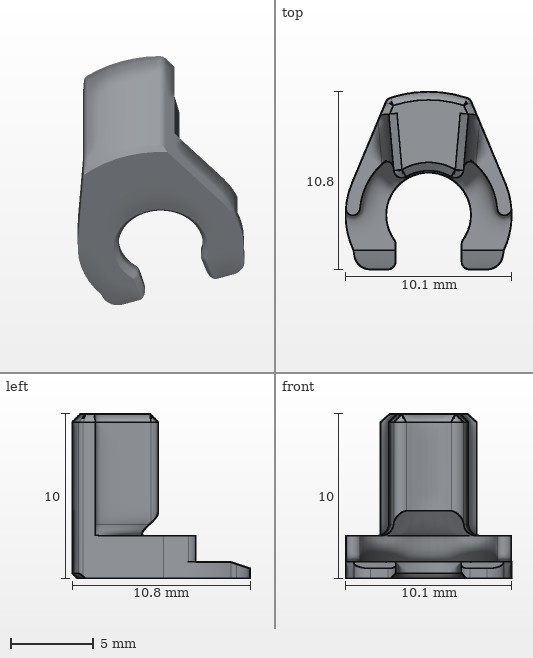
import cadquery as cq
import math

total_height = 10.0
base_thickness = 1.0
rim_height = 2.6

outer_radius = 5.055
back_radius = 7.5
taper_angle = math.radians(22.7)
back_corner_radius = 0.5
back_bottom_chamfer = 0.3

leg_front_y = -3.32
leg_start_y = -2.14
leg_corner_x = 4.39
leg_outer_radius = 1.0
leg_inner_radius = 0.5
leg_tip_thickness = 0.6

hole_radius = 2.57
mouth_half_width = 2.0
mouth_blend_radius = 0.5
mouth_chamfer = 0.3

rim_inner_radius = 4.2
rim_end_angle = math.radians(5)

tower_front_radius = 2.7
tower_corner_radius = 0.5
tower_side_angle = math.radians(5)
tower_side_x = 2.42
tower_step_y = 6.14
tower_foot_radius = 0.7
top_chamfer = 0.5

reach = 20.0


def prism(points, bottom, top):
    return cq.Workplane("XY").workplane(offset=bottom).polyline(points).close().extrude(top - bottom)


def cylinder(radius, bottom, top, center=(0, 0)):
    return cq.Workplane("XY").workplane(offset=bottom).center(*center).circle(radius).extrude(top - bottom)


def mirrored(shape):
    return shape.union(shape.mirror("YZ"))


def outline_prism(height):
    """Outer outline of the clip, with the opening between the legs still closed."""
    tangent_x = outer_radius * math.cos(taper_angle)
    tangent_y = outer_radius * math.sin(taper_angle)
    flank_length = math.sqrt(back_radius**2 - outer_radius**2)
    back_x = tangent_x - flank_length * math.sin(taper_angle)
    back_y = tangent_y + flank_length * math.cos(taper_angle)
    leg_start_x = math.sqrt(outer_radius**2 - leg_start_y**2)
    body = (
        cq.Workplane("XY")
        .moveTo(-leg_corner_x, leg_front_y)
        .lineTo(leg_corner_x, leg_front_y)
        .lineTo(leg_start_x, leg_start_y)
        .threePointArc((outer_radius, 0), (tangent_x, tangent_y))
        .lineTo(back_x, back_y)
        .threePointArc((0, back_radius), (-back_x, back_y))
        .lineTo(-tangent_x, tangent_y)
        .threePointArc((-outer_radius, 0), (-leg_start_x, leg_start_y))
        .close()
        .extrude(height)
    )
    body = body.edges("|Z").edges("<Y").fillet(leg_outer_radius)
    return body.edges("|Z").edges(">Y").fillet(back_corner_radius)


def mouth_profile():
    """Round seat and straight entry, joined by blends on the leg sides."""
    blend_x = mouth_half_width + mouth_blend_radius
    blend_reach = hole_radius + mouth_blend_radius
    blend_y = -math.sqrt(blend_reach**2 - blend_x**2)
    seat_x = blend_x * hole_radius / blend_reach
    seat_y = blend_y * hole_radius / blend_reach
    toward_seat = math.atan2(-blend_y, -blend_x)
    middle_angle = (toward_seat + math.pi) / 2
    middle_x = blend_x + mouth_blend_radius * math.cos(middle_angle)
    middle_y = blend_y + mouth_blend_radius * math.sin(middle_angle)
    front_y = 2 * leg_front_y
    return (
        cq.Workplane("XY")
        .moveTo(-mouth_half_width, front_y)
        .lineTo(mouth_half_width, front_y)
        .lineTo(mouth_half_width, blend_y)
        .threePointArc((middle_x, middle_y), (seat_x, seat_y))
        .threePointArc((0, hole_radius), (-seat_x, seat_y))
        .threePointArc((-middle_x, middle_y), (-mouth_half_width, blend_y))
        .close()
    )


def base_plate():
    plate = outline_prism(base_thickness).cut(mouth_profile().extrude(base_thickness))
    inner_corners = cq.selectors.BoxSelector(
        (-mouth_half_width - leg_inner_radius, leg_front_y - leg_inner_radius, 0),
        (mouth_half_width + leg_inner_radius, leg_front_y + leg_inner_radius, base_thickness),
    )
    plate = plate.edges("|Z").edges(inner_corners).fillet(leg_inner_radius)
    flare = mouth_profile().offset2D(mouth_chamfer).extrude(mouth_chamfer, taper=45)
    ramp = (
        cq.Workplane("YZ")
        .polyline([
            (leg_start_y, base_thickness),
            (leg_front_y, leg_tip_thickness),
            (leg_front_y, base_thickness),
        ])
        .close()
        .extrude(reach, both=True)
    )
    return plate.cut(flare).cut(ramp)


def rim():
    """Wall around the back, ending in full rounds at both sides."""
    end_radius = (outer_radius - rim_inner_radius) / 2
    end_center_radius = (outer_radius + rim_inner_radius) / 2
    end_x = end_center_radius * math.cos(rim_end_angle)
    end_y = end_center_radius * math.sin(rim_end_angle)
    far_y = reach * math.tan(rim_end_angle)
    front = prism([(0, 0), (reach, far_y), (reach, -reach), (-reach, -reach), (-reach, far_y)],
                  0, rim_height)
    wall = outline_prism(rim_height).cut(front).cut(cylinder(rim_inner_radius, 0, rim_height))
    ends = mirrored(cylinder(end_radius, 0, rim_height, (end_x, end_y)))
    seat_clearance = cq.Workplane("XY").box(reach, reach, base_thickness, centered=(True, True, False))
    return wall.union(ends).cut(seat_clearance)


def step_zone():
    """Everything in front of the two steps, each square to its tower side."""
    slope = math.tan(tower_side_angle)
    ridge_y = tower_step_y + tower_side_x * slope
    far_y = ridge_y - reach * slope
    return prism([(0, ridge_y), (reach, far_y), (reach, -reach), (-reach, -reach), (-reach, far_y)],
                 0, total_height)


def tower_back():
    return outline_prism(total_height).faces(">Z").chamfer(top_chamfer).cut(step_zone())


def tower_front():
    slope = math.tan(tower_side_angle)
    front_x = tower_side_x - tower_step_y * slope
    back_x = front_x + back_radius * slope
    block = prism([(front_x, 0), (back_x, back_radius), (-back_x, back_radius), (-front_x, 0)],
                  rim_height, total_height)
    block = block.cut(cylinder(tower_front_radius, rim_height, total_height))
    front_corners = cq.selectors.BoxSelector(
        (-reach, 0, 0), (reach, tower_front_radius, total_height))
    block = block.edges("|Z").edges(front_corners).fillet(tower_corner_radius)
    return block.faces(">Z").chamfer(top_chamfer).intersect(step_zone())


def tower_feet():
    """Concave fillets where the tower sides meet the rim top."""
    fillet = (
        cq.Workplane("XZ")
        .moveTo(-tower_corner_radius, rim_height)
        .lineTo(tower_foot_radius, rim_height)
        .radiusArc((0, rim_height + tower_foot_radius), tower_foot_radius)
        .lineTo(-tower_corner_radius, rim_height + tower_foot_radius)
        .close()
        .extrude(tower_step_y - tower_front_radius + tower_corner_radius)
        .rotate((0, 0, 0), (0, 0, 1), -math.degrees(tower_side_angle))
        .translate((tower_side_x, tower_step_y, 0))
    )
    return mirrored(fillet).intersect(outline_prism(total_height))


def undercut():
    """45 degree cone that carries the rim's inner wall up to the tower front."""
    return (
        cq.Workplane("XZ")
        .polyline([(0, rim_height), (rim_inner_radius, rim_height), (0, rim_height + rim_inner_radius)])
        .close()
        .revolve(360, (0, 0, 0), (0, 1, 0))
    )


def back_edge_cutter():
    inner = back_radius - back_bottom_chamfer
    return (
        cq.Workplane("XZ")
        .polyline([(inner, 0), (back_radius + back_bottom_chamfer, 0),
                   (back_radius + back_bottom_chamfer, 2 * back_bottom_chamfer)])
        .close()
        .revolve(360, (0, 0, 0), (0, 1, 0))
    )


tower = tower_back().union(tower_front()).union(tower_feet()).cut(undercut())
result = base_plate().union(rim())
result = result.union(tower.cut(cylinder(rim_inner_radius, 0, rim_height)))
result = result.cut(back_edge_cutter()).clean().solids()